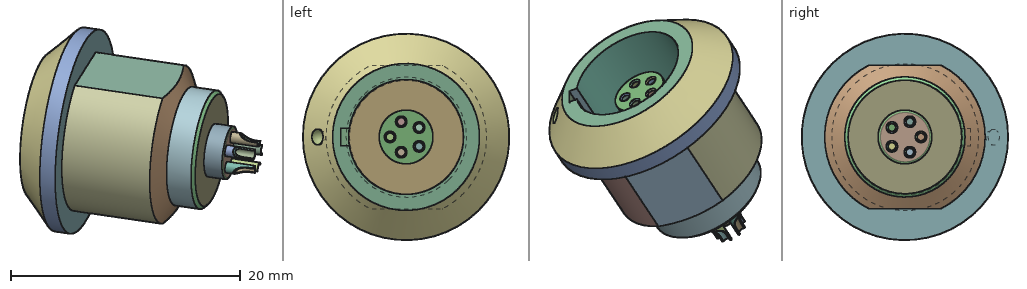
import cadquery as cq
import math


FLANGE_RADIUS = 9.0
FLANGE_CHAMFER = 2.6
FLANGE_BACK = 4.0
BODY_RADIUS = 7.0
BODY_BACK = 12.0
RING_RADIUS = 5.25
RING_START = 13.0
RING_BACK = 15.52
RING_CHAMFER = 0.3
FLAT_HEIGHT = 6.25

BORE_RADIUS = 5.0
BORE_DEPTH = 10.0
KEYWAY_REACH = 5.7
KEYWAY_WIDTH = 1.5
KEYWAY_DEPTH = 7.88

DOT_RADIUS = 0.69
DOT_OFFSET = 7.72

INSERT_RADIUS = 2.35
INSERT_FRONT = 2.27
INSERT_BACK = 17.22
INSERT_CHAMFER_LENGTH = 0.05
INSERT_CHAMFER_HEIGHT = 0.2

CONTACT_COUNT = 5
CONTACT_CIRCLE_RADIUS = 1.4
PIN_RADIUS = 0.5
PIN_BACK = 19.7
SOCKET_RADIUS = 0.35
SOCKET_DEPTH = 2.95
CUP_BORE_RADIUS = 0.33
CUP_SCOOP_START = 17.93
CUP_SCOOP_END = 19.2
CUP_RIM_DROP = 0.05


def rod(radius, start, end):
    """Solid cylinder on the X axis."""
    return cq.Workplane("YZ", origin=(start, 0, 0)).circle(radius).extrude(end - start)


def revolve_profile(points):
    """Revolve a closed (x, radius) outline about the X axis."""
    return cq.Workplane("XY").polyline(points).close().revolve(360, (0, 0, 0), (1, 0, 0))


def make_shell():
    flange = revolve_profile([
        (0, 0),
        (0, FLANGE_RADIUS - FLANGE_CHAMFER),
        (FLANGE_CHAMFER, FLANGE_RADIUS),
        (FLANGE_BACK, FLANGE_RADIUS),
        (FLANGE_BACK, 0),
    ])
    body = revolve_profile([
        (FLANGE_CHAMFER, 0),
        (FLANGE_CHAMFER, BODY_RADIUS),
        (BODY_BACK, BODY_RADIUS),
        (RING_START, RING_RADIUS),
        (RING_BACK - RING_CHAMFER, RING_RADIUS),
        (RING_BACK, RING_RADIUS - RING_CHAMFER),
        (RING_BACK, 0),
    ])
    between_flats = cq.Workplane("XY").box(2 * RING_BACK, 2 * BODY_RADIUS, 2 * FLAT_HEIGHT)
    return flange.union(body.intersect(between_flats))


def make_socket_opening():
    bore = rod(BORE_RADIUS, 0, BORE_DEPTH)
    keyway = cq.Workplane("XY").box(
        KEYWAY_DEPTH, KEYWAY_REACH, KEYWAY_WIDTH, centered=(False, False, True))
    return bore.union(keyway)


def make_orientation_dot():
    dot_x = DOT_OFFSET - (FLANGE_RADIUS - FLANGE_CHAMFER)
    return cq.Workplane("XY").sphere(DOT_RADIUS).translate((dot_x, DOT_OFFSET, 0))


def make_insert():
    return revolve_profile([
        (INSERT_FRONT, 0),
        (INSERT_FRONT, INSERT_RADIUS),
        (INSERT_BACK - INSERT_CHAMFER_LENGTH, INSERT_RADIUS),
        (INSERT_BACK, INSERT_RADIUS - INSERT_CHAMFER_HEIGHT),
        (INSERT_BACK, 0),
    ])


def make_contact_socket():
    """Countersunk contact hole in the insert front, on the X axis."""
    countersink = PIN_RADIUS - SOCKET_RADIUS
    return revolve_profile([
        (INSERT_FRONT, 0),
        (INSERT_FRONT, PIN_RADIUS),
        (INSERT_FRONT + countersink, SOCKET_RADIUS),
        (INSERT_FRONT + SOCKET_DEPTH, SOCKET_RADIUS),
        (INSERT_FRONT + SOCKET_DEPTH, 0),
    ])


def make_solder_cup():
    """Hollow pin on the X axis, scooped open on its +Y side."""
    pin = rod(PIN_RADIUS, RING_BACK, PIN_BACK)
    pin = pin.cut(rod(CUP_BORE_RADIUS, INSERT_BACK, PIN_BACK))
    scoop_length = CUP_SCOOP_END - CUP_SCOOP_START
    scoop_height = PIN_RADIUS + CUP_RIM_DROP
    scoop_radius = (scoop_length**2 + scoop_height**2) / (2 * scoop_height)
    half_sweep = math.asin(scoop_length / scoop_radius) / 2
    arc_middle = (
        CUP_SCOOP_END - scoop_radius * math.sin(half_sweep),
        scoop_radius * (1 - math.cos(half_sweep)) - CUP_RIM_DROP,
    )
    scoop = (
        cq.Workplane("XY", origin=(0, 0, -PIN_RADIUS))
        .moveTo(CUP_SCOOP_START, PIN_RADIUS)
        .threePointArc(arc_middle, (CUP_SCOOP_END, -CUP_RIM_DROP))
        .lineTo(PIN_BACK, -CUP_RIM_DROP)
        .lineTo(PIN_BACK, PIN_RADIUS)
        .close()
        .extrude(2 * PIN_RADIUS)
    )
    return pin.cut(scoop)


def place_contact(shape, index):
    """Move a shape from the X axis to its place on the contact circle; the first is on +Y."""
    angle = index * 360 / CONTACT_COUNT
    return shape.translate((0, CONTACT_CIRCLE_RADIUS, 0)).rotate((0, 0, 0), (1, 0, 0), angle)


result = make_shell().cut(make_socket_opening()).cut(make_orientation_dot()).union(make_insert())

for contact in range(CONTACT_COUNT):
    result = result.cut(place_contact(make_contact_socket(), contact))
    result = result.union(place_contact(make_solder_cup(), contact))